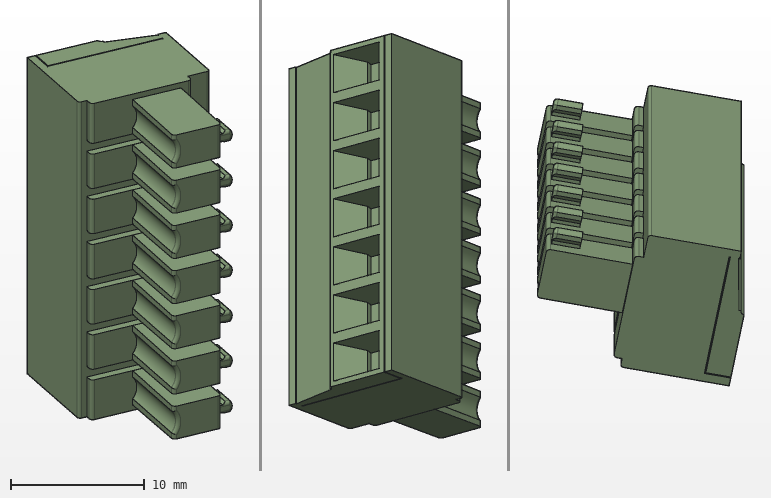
import cadquery as cq
import math

POLES = 7
LENGTH = 26.67
PITCH = LENGTH / POLES
POLE_CENTRES = [PITCH * (i + 0.5) for i in range(POLES)]

HOUSING_WIDTH = 11.1
HOUSING_BACK = 8.3
COLLAR_BACK = 8.95
COLLAR_LOW = 0.7
COLLAR_HIGH = 9.23
HOUSING_RADIUS = 0.25
COLLAR_RADIUS = 0.3

NOSE_TOP = 6.27
SHOULDER_RADIUS = 0.3
SLOPE_START_X = 0.45
SLOPE_END_X = 1.3
LIP_X = 1.2
CAP_TOP = 10.43

GAP = 0.08
GAP_BOTTOM = 0.67
GAP_BACK = 2.0
GAP_END_DEPTH = 0.27

MOUTH_LOW = 1.23
MOUTH_HIGH = 5.7
MOUTH_HEIGHT = 3.01
THROAT_X = 1.95
THROAT_HIGH = 4
FUNNEL_DEPTH = 2.35
FLOOR_LOW = 1.3
FLOOR_HEIGHT = 1.9

PIN_TIP = 15.5
PIN_LOW = 4.21
PIN_HIGH = 8.3
PIN_ROOT_HEIGHT = 2.9
PIN_TIP_HEIGHT = 2.77
PIN_TIP_RADIUS = 0.3
CHANNEL_RADIUS = 2.8 / 2
CHANNEL_CHORD = 1.85

RIB_START = 13.0
RIB_END = 15.15
RIB_END_RADIUS = 0.27
RIB_NECK = 8.6
RIB_HEAD_LOW = 8.88
RIB_HEAD_HIGH = 9.25
RIB_STEM_HALF = 0.32
RIB_HEAD_HALF = 0.48
RIB_CREST_RADIUS = 1.2 / 2
RIB_CREST = RIB_HEAD_HIGH + RIB_CREST_RADIUS - math.sqrt(RIB_CREST_RADIUS**2 - RIB_HEAD_HALF**2)


def box(x_range, y_range, z_range):
    """Box spanning three (low, high) ranges."""
    corner = (x_range[0], y_range[0], z_range[0])
    sizes = [high - low for low, high in (x_range, y_range, z_range)]
    return cq.Workplane("XY").box(*sizes, centered=False).translate(corner)


def trapezoid_prism(x_range, heights, y_range):
    """Prism along Y, symmetric about Z = 0, whose height changes evenly along X."""
    start, end = x_range
    half_start, half_end = heights[0] / 2, heights[1] / 2
    outline = [(start, -half_start), (end, -half_end), (end, half_end), (start, half_start)]
    plane = cq.Workplane("XZ", origin=(0, y_range[0], 0))
    return plane.polyline(outline).close().extrude(y_range[0] - y_range[1])


def make_housing():
    housing = (
        cq.Workplane("XY")
        .lineTo(HOUSING_BACK, 0)
        .lineTo(HOUSING_BACK, HOUSING_WIDTH)
        .lineTo(LIP_X, HOUSING_WIDTH)
        .lineTo(LIP_X, CAP_TOP)
        .lineTo(SLOPE_END_X, CAP_TOP)
        .lineTo(SLOPE_START_X, NOSE_TOP)
        .lineTo(SHOULDER_RADIUS, NOSE_TOP)
        .radiusArc((0, NOSE_TOP - SHOULDER_RADIUS), SHOULDER_RADIUS)
        .close()
        .extrude(LENGTH)
        .edges("|Z and >X")
        .fillet(HOUSING_RADIUS)
    )
    collar = box((HOUSING_BACK / 2, COLLAR_BACK), (COLLAR_LOW, COLLAR_HIGH), (0, LENGTH))
    return housing.union(collar.edges("|Z and >X").fillet(COLLAR_RADIUS))


def make_cap_gap():
    """Gap under the cap along its full length, and a shallow groove behind it at both ends."""
    gap = box((0, GAP_BACK), (GAP_BOTTOM, GAP_BOTTOM + GAP), (0, LENGTH))
    for z_range in ((0, GAP_END_DEPTH), (LENGTH - GAP_END_DEPTH, LENGTH)):
        gap = gap.union(box((GAP_BACK - GAP, GAP_BACK), (GAP_BOTTOM, CAP_TOP), z_range))
    return gap


def make_funnel():
    """Wire-entry cavity centred on Z = 0."""
    outline = [
        (0, MOUTH_LOW),
        (FUNNEL_DEPTH, FLOOR_LOW),
        (FUNNEL_DEPTH, THROAT_HIGH),
        (THROAT_X, THROAT_HIGH),
        (0, MOUTH_HIGH),
    ]
    side_walls = cq.Workplane("XY").polyline(outline).close().extrude(MOUTH_HEIGHT / 2, both=True)
    end_walls = trapezoid_prism((0, FUNNEL_DEPTH), (MOUTH_HEIGHT, FLOOR_HEIGHT), (0, HOUSING_WIDTH))
    return side_walls.intersect(end_walls)


def make_collar_slot():
    """Clearance between two neighbouring poles, centred on Z = 0."""
    half = (PITCH - PIN_ROOT_HEIGHT) / 2
    return box((HOUSING_BACK, COLLAR_BACK), (0, HOUSING_WIDTH), (-half, half))


def make_pin():
    """Channelled, tapered pin centred on Z = 0."""
    pin = trapezoid_prism(
        (HOUSING_BACK, PIN_TIP), (PIN_ROOT_HEIGHT, PIN_TIP_HEIGHT), (PIN_LOW, PIN_HIGH)
    )
    axis_offset = math.sqrt(CHANNEL_RADIUS**2 - (CHANNEL_CHORD / 2) ** 2)
    channel = (
        cq.Workplane("YZ", origin=(COLLAR_BACK, PIN_LOW - axis_offset, 0))
        .circle(CHANNEL_RADIUS)
        .extrude(PIN_TIP - COLLAR_BACK)
    )
    return pin.cut(channel).faces(">X").edges("not (<Z or >Z)").fillet(PIN_TIP_RADIUS)


def rib_prism(half_section):
    """Round-crested prism along X; its Y-Z section mirrors the given (y, z) points about Z = 0."""
    mirrored = [(y, -z) for y, z in half_section]
    return (
        cq.Workplane("YZ", origin=(RIB_START, 0, 0))
        .polyline(list(reversed(mirrored)) + half_section)
        .threePointArc((RIB_CREST, 0), mirrored[-1])
        .close()
        .extrude(RIB_END - RIB_START)
    )


def make_rib():
    """Coding rib centred on Z = 0, with its head rounded at the tip end."""
    shoulder = (RIB_HEAD_HIGH, RIB_HEAD_HALF)
    stem = [(PIN_HIGH, RIB_STEM_HALF), (RIB_NECK, RIB_STEM_HALF), (RIB_HEAD_LOW, RIB_HEAD_HALF)]
    envelope = rib_prism([(PIN_HIGH, RIB_HEAD_HALF), shoulder])
    rounded = envelope.faces(">X").edges("not <Y").fillet(RIB_END_RADIUS)
    return rounded.intersect(rib_prism(stem + [shoulder]))


result = make_housing().cut(make_cap_gap())

for z in POLE_CENTRES:
    result = result.cut(make_funnel().translate((0, 0, z)))
for pole in range(1, POLES):
    result = result.cut(make_collar_slot().translate((0, 0, PITCH * pole)))
for z in POLE_CENTRES:
    result = result.union(make_pin().union(make_rib()).translate((0, 0, z)))